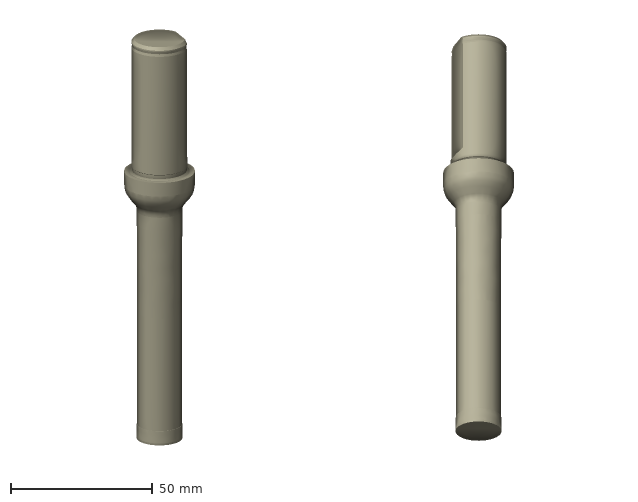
import cadquery as cq
import math

total_length = 151.0

head_length = 5.6
head_back_radius = 16.2 / 2
head_rim_radius = 8.23
head_rim_height = 1.0
point_radius = 8.2
point_height = 0.3

body_radius = 15.9 / 2
body_straight_top = 48.0
neck_radius = 16.2 / 2
neck_bottom = 81.2
neck_top = 86.2

collar_radius = 25.0 / 2
collar_rim_bottom = 95.9
collar_top = 101.0
collar_arc_radius = 7.5

shank_radius = 20.0 / 2
relief_radius = 19.5 / 2
seat_radius = 10.7
seat_height = 0.5
relief_top = 102.8
relief_taper = shank_radius - relief_radius
groove_bottom = 147.7
groove_middle = 148.6
groove_top = 149.5
chamfer_bottom = 150.0
top_radius = 9.0

flat_distance = 8.0
flat_ramp_bottom = 105.2


def make_cutting_head():
    """Shallow conical point, bevelled rim and a skirt that tapers in towards the body."""
    return (
        cq.Workplane("XZ")
        .moveTo(0, 0)
        .lineTo(point_radius, point_height)
        .lineTo(head_rim_radius, head_rim_height)
        .lineTo(head_back_radius, head_length)
        .lineTo(0, head_length)
        .close()
        .revolve(360, (0, 0, 0), (0, 1, 0))
    )


def make_holder_profile():
    """Half section of the drill body, collar and shank."""
    blend_width = collar_radius - neck_radius
    blend_height = collar_rim_bottom - neck_top
    blend_angle = 2 * math.atan2(blend_width, blend_height)
    inflection_radius = collar_radius - collar_arc_radius * (1 - math.cos(blend_angle))
    inflection_height = collar_rim_bottom - collar_arc_radius * math.sin(blend_angle)
    blend_points = [
        (inflection_radius, inflection_height),
        (collar_radius, collar_rim_bottom),
    ]
    upward = (0, 1)

    return (
        cq.Workplane("XZ")
        .moveTo(0, head_length)
        .lineTo(body_radius, head_length)
        .lineTo(body_radius, body_straight_top)
        .lineTo(neck_radius, neck_bottom)
        .lineTo(neck_radius, neck_top)
        .spline(blend_points, tangents=[upward, upward], includeCurrent=True)
        .lineTo(collar_radius, collar_top)
        .lineTo(seat_radius, collar_top)
        .lineTo(relief_radius, collar_top + seat_height)
        .lineTo(relief_radius, relief_top)
        .lineTo(shank_radius, relief_top + relief_taper)
        .lineTo(shank_radius, groove_bottom)
        .lineTo(relief_radius, groove_middle)
        .lineTo(shank_radius, groove_top)
        .lineTo(shank_radius, chamfer_bottom)
        .lineTo(top_radius, total_length)
        .lineTo(0, total_length)
        .close()
    )


def make_flat_cutter():
    """Block that removes the flat, with a 45 degree ramp at its lower end."""
    flat_bottom = flat_ramp_bottom + shank_radius - flat_distance
    ramp_end = flat_ramp_bottom - (collar_radius - shank_radius)
    return (
        cq.Workplane("YZ")
        .moveTo(flat_distance, total_length)
        .lineTo(flat_distance, flat_bottom)
        .lineTo(collar_radius, ramp_end)
        .lineTo(collar_radius, total_length)
        .close()
        .extrude(shank_radius, both=True)
    )


def make_holder():
    """Drill body with its collar and flatted shank."""
    turned = make_holder_profile().revolve(360, (0, 0, 0), (0, 1, 0))
    return turned.cut(make_flat_cutter())


cutting_head = make_cutting_head()
holder = make_holder()

result = cq.Compound.makeCompound([cutting_head.val(), *holder.solids().vals()])